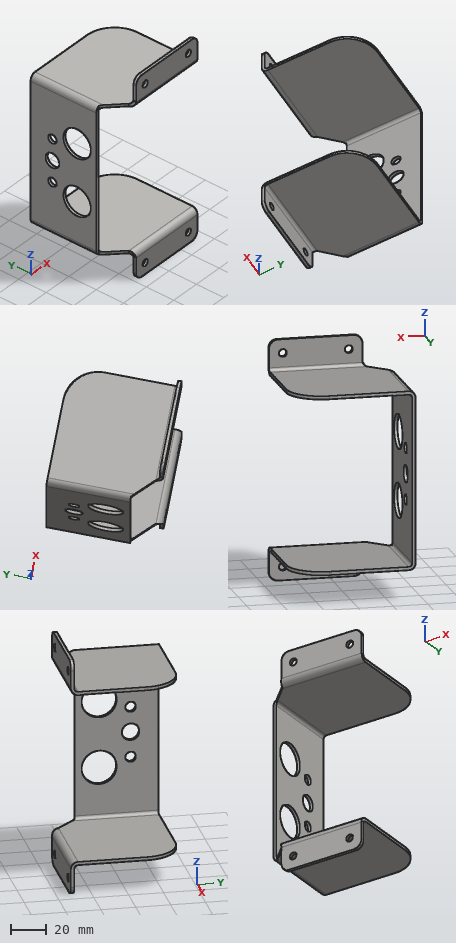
import cadquery as cq

width = 70.0
depth = 64.0
height = 140.0
box_height = 104.0
bend_outer = 4.0
sheet = bend_outer / 2
bend_inner = bend_outer - sheet
bend_axis_z = box_height / 2 - sheet + bend_outer

corner_notch = 16.0
corner_cut = 18.2
plate_corner_radius = 20.0
bend_start_x = corner_cut - bend_outer
flange_corner_radius = 5.0

mount_hole_diameter = 4.5
mount_hole_x = (24.0, 62.0)
mount_hole_edge = 8.0

large_hole_y = 30.0
large_hole_z = 20.0
small_hole_y = 48.0
small_hole_z = 15.0
web_holes = (
    (20.0, large_hole_y, large_hole_z),
    (20.0, large_hole_y, -large_hole_z),
    (10.0, small_hole_y, 0),
    (6.0, small_hole_y, small_hole_z),
    (6.0, small_hole_y, -small_hole_z),
)


def make_channel():
    """Web and two plates, bent as a U that opens toward +X."""
    def tube(size_x, size_z, left, radius):
        block = cq.Workplane("XY").box(size_x, depth, size_z, centered=(False, False, True))
        return block.edges("|Y and <X").fillet(radius).translate((left, 0, 0))

    outside = tube(width, box_height, 0, bend_outer)
    inside = tube(width, box_height - 2 * sheet, sheet, bend_inner)
    channel = outside.cut(inside)
    return channel.edges("|Z and >X and >Y").fillet(plate_corner_radius)


def trim_corner(channel):
    """Cut the 45 degree corner and clear the strip where the flange bend starts."""
    corner = (
        cq.Workplane("XY")
        .polyline([
            (0, 0),
            (corner_cut, 0),
            (corner_cut - corner_notch, corner_notch),
            (0, corner_notch),
        ])
        .close()
        .extrude(height / 2, both=True)
    )
    bend_strip = cq.Workplane("XY").box(width, bend_outer, height, centered=(False, False, True))
    return channel.cut(corner).cut(bend_strip)


def bend_section(inner, outer):
    """Quarter ring about the flange bend axis, from the plate round to the flange."""
    diagonal = 0.5 ** 0.5
    return (
        cq.Workplane("YZ", origin=(bend_start_x, bend_outer, bend_axis_z))
        .moveTo(0, -outer)
        .threePointArc((-outer * diagonal, -outer * diagonal), (-outer, 0))
        .lineTo(-inner, 0)
        .threePointArc((-inner * diagonal, -inner * diagonal), (0, -inner))
        .close()
    )


def make_flange_bend():
    """Upper flange bend, its left end narrowing evenly with the bend angle."""
    bend = bend_section(bend_inner, bend_outer).extrude(width - bend_start_x)
    taper = corner_notch - bend_start_x
    cutter = bend_section(bend_inner / 2, bend_outer * 2).twistExtrude(taper, -90)
    return bend.cut(cutter)


def make_flange():
    """Upper flange standing above its bend, with two mounting holes."""
    top = height / 2
    flange = (
        cq.Workplane("XY")
        .box(width - corner_notch, sheet, top - bend_axis_z, centered=False)
        .translate((corner_notch, 0, bend_axis_z))
        .edges("|Y and >Z")
        .fillet(flange_corner_radius)
    )
    holes = (
        cq.Workplane("XZ")
        .pushPoints([(x, top - mount_hole_edge) for x in mount_hole_x])
        .circle(mount_hole_diameter / 2)
        .extrude(-sheet)
    )
    return flange.cut(holes)


def cut_web_holes(body):
    """Cut the round holes through the web."""
    for diameter, y, z in web_holes:
        hole = cq.Workplane("YZ").center(y, z).circle(diameter / 2).extrude(bend_outer)
        body = body.cut(hole)
    return body


channel = cut_web_holes(trim_corner(make_channel()))
upper_flange = make_flange_bend().union(make_flange())
lower_flange = upper_flange.mirror("XY")
result = channel.union(upper_flange).union(lower_flange)